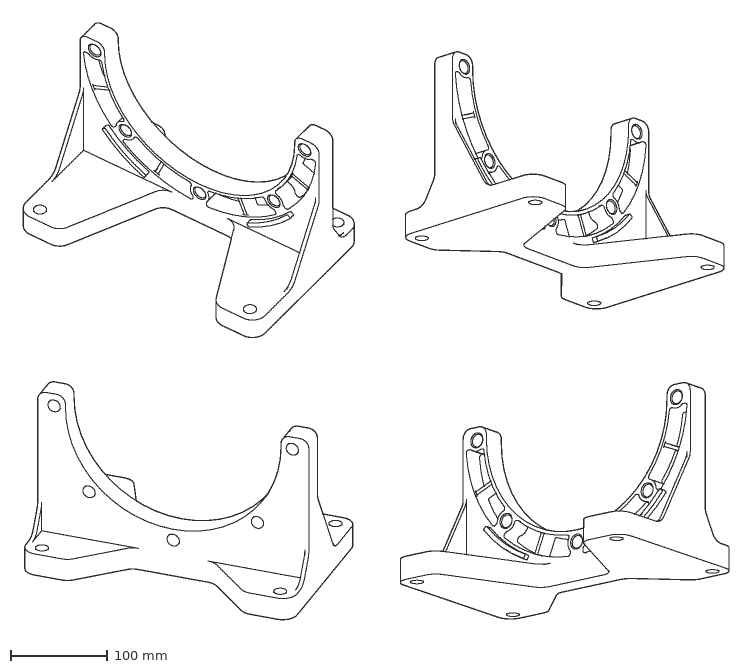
import cadquery as cq
import math

WIDTH = 302.0
HEIGHT = 189.0
PLATE_THICKNESS = 25.0
FRONT_REACH = 114.8
BACK_REACH = 50.0

BASE_THICKNESS = 25.0
FOOT_WIDTH = 53.0
WAIST_WIDTH = 90.5
CORNER_RADIUS = 16.0

HOLE_DIAMETER = 13.5
HOLE_CHAMFER = 1.2
HOLE_EDGE_DISTANCE = 15.0

SADDLE_RADIUS = 120.0
SADDLE_HEIGHT = 175.0
HORN_RADIUS = 10.0

BOLT_RING_RADIUS = 132.5
BOLT_SPACING = 45
POCKET_INNER_RADIUS = 123.8
POCKET_OUTER_RADIUS = 147.0
POCKET_DEPTH = 22.0
POCKET_CORNER_RADIUS = 3.0
BOSS_RADIUS = 11.8
WEB_THICKNESS = 17.0
RIB_THICKNESS = 4.0
RIB_FILLET = 1.5
RIB_RECESS = 3.0

PAD_INNER_RADIUS = 150.5
PAD_OUTER_RADIUS = 155.5
PAD_HEIGHT = 6.0
PAD_START_ANGLE = 40
PAD_END_ANGLE = 65
PAD_CORNER_RADIUS = 1.2

GUSSET_THICKNESS = 4.5
GUSSET_FRONT_LENGTH = 48.5
GUSSET_BACK_LENGTH = 17.0
GUSSET_LEAN = 30
GUSSET_RADIUS = 16.0

OVERCUT = 3.0

HALF_WIDTH = WIDTH / 2
BOLT_ANGLES = range(0, 181, BOLT_SPACING)


def front_plane():
    """Sketch plane facing -Y on the saddle axis; positive extrusion goes towards -Y."""
    return cq.Workplane("XZ", origin=(0, 0, SADDLE_HEIGHT))


def ring_point(radius, angle):
    """Point at an angle below the +X horizontal, relative to the saddle axis."""
    return (radius * math.cos(math.radians(angle)), -radius * math.sin(math.radians(angle)))


def ring_sector(inner_radius, outer_radius, start, end):
    """Closed outline of an annular sector between two angles."""
    middle = (start + end) / 2
    return (
        front_plane()
        .moveTo(*ring_point(inner_radius, start))
        .lineTo(*ring_point(outer_radius, start))
        .threePointArc(ring_point(outer_radius, middle), ring_point(outer_radius, end))
        .lineTo(*ring_point(inner_radius, end))
        .threePointArc(ring_point(inner_radius, middle), ring_point(inner_radius, start))
        .close()
    )


def radial_bar(inner_radius, outer_radius, thickness, depth, angle):
    """Radial bar reaching from the front face into the plate, at an angle below horizontal."""
    length = outer_radius - inner_radius
    return (
        front_plane()
        .center((inner_radius + outer_radius) / 2, 0)
        .rect(length, thickness)
        .extrude(-depth)
        .rotate((0, 0, SADDLE_HEIGHT), (0, 1, SADDLE_HEIGHT), angle)
    )


def make_base():
    y_front = -FRONT_REACH
    y_back = PLATE_THICKNESS + BACK_REACH
    x_foot = HALF_WIDTH - FOOT_WIDTH
    x_waist = WAIST_WIDTH / 2
    right_edge = [
        (x_waist, 0),
        (x_foot, y_front),
        (HALF_WIDTH, y_front),
        (HALF_WIDTH, y_back),
        (x_foot, y_back),
        (x_waist, PLATE_THICKNESS),
    ]
    left_edge = [(-x, y) for x, y in reversed(right_edge)]
    x_hole = BOLT_RING_RADIUS
    hole_points = [
        (side * x_hole, y)
        for side in (-1, 1)
        for y in (y_front + HOLE_EDGE_DISTANCE, y_back - HOLE_EDGE_DISTANCE)
    ]
    base = cq.Workplane("XY").polyline(right_edge + left_edge).close().extrude(BASE_THICKNESS)
    base = base.edges("|Z").fillet(CORNER_RADIUS)
    holes = cq.Workplane("XY").pushPoints(hole_points).circle(HOLE_DIAMETER / 2).extrude(BASE_THICKNESS)
    return base.cut(holes)


def make_plate():
    horn_top = HEIGHT - SADDLE_HEIGHT
    plate = (
        front_plane()
        .moveTo(-HALF_WIDTH, -SADDLE_HEIGHT)
        .lineTo(HALF_WIDTH, -SADDLE_HEIGHT)
        .lineTo(HALF_WIDTH, horn_top)
        .lineTo(SADDLE_RADIUS, horn_top)
        .lineTo(SADDLE_RADIUS, 0)
        .threePointArc((0, -SADDLE_RADIUS), (-SADDLE_RADIUS, 0))
        .lineTo(-SADDLE_RADIUS, horn_top)
        .lineTo(-HALF_WIDTH, horn_top)
        .close()
        .extrude(-PLATE_THICKNESS)
    )
    horn_corners = cq.selectors.BoxSelector(
        (-WIDTH, -OVERCUT, HEIGHT - OVERCUT), (WIDTH, PLATE_THICKNESS + OVERCUT, HEIGHT + OVERCUT)
    )
    return plate.edges("|Y").edges(horn_corners).fillet(HORN_RADIUS)


def make_gusset(side):
    """Thin triangular brace joining the plate to the base along one side face."""
    rise_per_length = 1 / math.tan(math.radians(GUSSET_LEAN))
    front_top = BASE_THICKNESS + GUSSET_FRONT_LENGTH * rise_per_length
    back_top = BASE_THICKNESS + GUSSET_BACK_LENGTH * rise_per_length
    y_back = PLATE_THICKNESS
    y_front_end = -FRONT_REACH + CORNER_RADIUS
    y_back_end = y_back + BACK_REACH - CORNER_RADIUS
    bends = [
        (y_back + GUSSET_BACK_LENGTH, BASE_THICKNESS),
        (y_back, back_top),
        (0, front_top),
        (-GUSSET_FRONT_LENGTH, BASE_THICKNESS),
    ]
    outline = [
        (y_front_end, 0),
        (y_back_end, 0),
        (y_back_end, BASE_THICKNESS),
        *bends[:2],
        (y_back, front_top + GUSSET_RADIUS),
        (0, front_top + GUSSET_RADIUS),
        *bends[2:],
        (y_front_end, BASE_THICKNESS),
    ]
    x_start = HALF_WIDTH - GUSSET_THICKNESS if side > 0 else -HALF_WIDTH
    gusset = (
        cq.Workplane("YZ", origin=(x_start, 0, 0)).polyline(outline).close().extrude(GUSSET_THICKNESS)
    )
    for y, z in bends:
        bend = cq.selectors.BoxSelector(
            (-WIDTH, y - OVERCUT, z - OVERCUT), (WIDTH, y + OVERCUT, z + OVERCUT)
        )
        gusset = gusset.edges("|X").edges(bend).fillet(GUSSET_RADIUS)
    return gusset


def make_pocket(start):
    """Blind pocket between two neighbouring bolts, with a rib across its middle."""
    end = start + BOLT_SPACING
    pocket = ring_sector(POCKET_INNER_RADIUS, POCKET_OUTER_RADIUS, start, end)
    pocket = pocket.extrude(-POCKET_DEPTH)
    outer_reach = POCKET_OUTER_RADIUS + OVERCUT
    for angle in (start, end):
        boss = front_plane().center(*ring_point(BOLT_RING_RADIUS, angle)).circle(BOSS_RADIUS)
        web = radial_bar(BOLT_RING_RADIUS, outer_reach, WEB_THICKNESS, POCKET_DEPTH, angle)
        pocket = pocket.cut(boss.extrude(-POCKET_DEPTH)).cut(web)
    pocket = pocket.edges("|Y").fillet(POCKET_CORNER_RADIUS)
    rib_start = POCKET_INNER_RADIUS - OVERCUT
    rib = radial_bar(rib_start, outer_reach, RIB_THICKNESS, POCKET_DEPTH, (start + end) / 2)
    pocket = pocket.cut(rib.translate((0, RIB_RECESS, 0)))
    rib_height = POCKET_DEPTH - RIB_RECESS
    rib_corners = pocket.edges("|Y").filter(lambda edge: math.isclose(edge.Length(), rib_height))
    return rib_corners.fillet(RIB_FILLET)


def make_pad(start, end):
    pad = ring_sector(PAD_INNER_RADIUS, PAD_OUTER_RADIUS, start, end).extrude(PAD_HEIGHT)
    return pad.edges("|Y").fillet(PAD_CORNER_RADIUS)


def make_bolt_hole(angle):
    """Through hole with a chamfered mouth on the front face."""
    centre = ring_point(BOLT_RING_RADIUS, angle)
    radius = HOLE_DIAMETER / 2
    hole = front_plane().center(*centre).circle(radius).extrude(-PLATE_THICKNESS)
    mouth = front_plane().center(*centre).circle(radius + HOLE_CHAMFER)
    return hole.union(mouth.extrude(-HOLE_CHAMFER, taper=45))


result = make_base().union(make_plate())
for side in (-1, 1):
    result = result.union(make_gusset(side))
for angle in BOLT_ANGLES[:-1]:
    result = result.cut(make_pocket(angle))
for angle in BOLT_ANGLES:
    result = result.cut(make_bolt_hole(angle))
result = result.union(make_pad(PAD_START_ANGLE, PAD_END_ANGLE))
result = result.union(make_pad(180 - PAD_END_ANGLE, 180 - PAD_START_ANGLE))